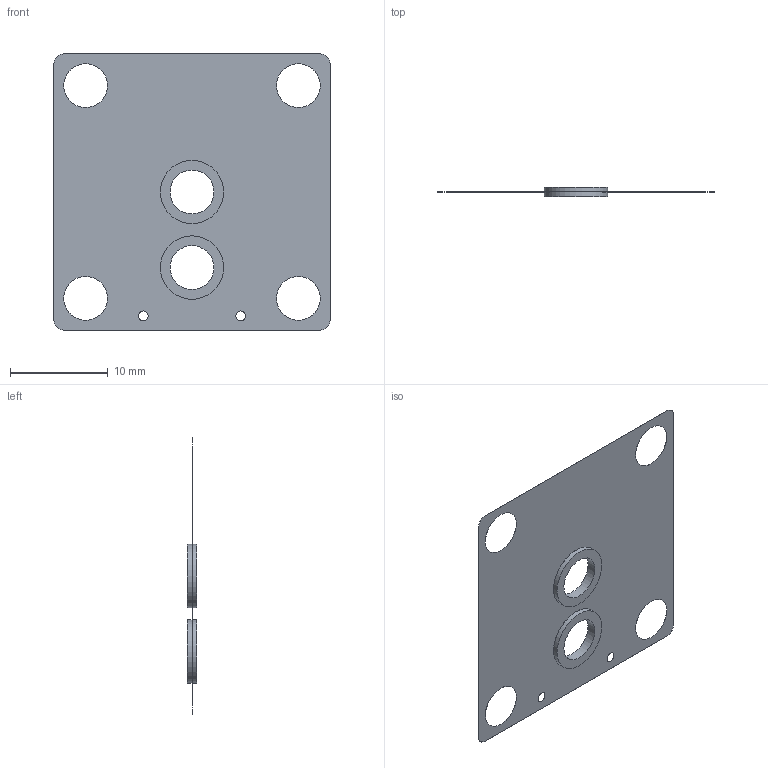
import cadquery as cq

plate_side = 28.3
plate_thickness = 0.01
corner_radius = 1.0

mount_hole_diameter = 4.5
mount_hole_edge_gap = 1.0
mount_hole_offset = plate_side / 2 - mount_hole_edge_gap - mount_hole_diameter / 2
mount_hole_centres = [
    (x_side * mount_hole_offset, z_side * mount_hole_offset)
    for x_side in (-1, 1)
    for z_side in (-1, 1)
]

ring_outer_diameter = 6.5
ring_bore_diameter = 4.5
ring_length = 1.0
ring_spacing = 7.75
ring_centres = [(0, 0), (0, -ring_spacing)]

pin_hole_diameter = 1.0
pin_hole_spacing = 10.0
pin_hole_height = -12.7
pin_hole_centres = [(side * pin_hole_spacing / 2, pin_hole_height) for side in (-1, 1)]


def make_plate():
    """Square plate with rounded corners, reaching from the XZ plane toward -Y."""
    plate = cq.Workplane("XZ").rect(plate_side, plate_side).extrude(plate_thickness)
    return plate.edges("|Y").fillet(corner_radius)


def make_cylinders(centres, diameter):
    """Cylinders along Y at the given (x, z) centres, as long as the rings."""
    back_plane = cq.Workplane("XZ", origin=(0, ring_length / 2, 0))
    return back_plane.pushPoints(centres).circle(diameter / 2).extrude(ring_length)


result = (
    make_plate()
    .cut(make_cylinders(mount_hole_centres, mount_hole_diameter))
    .cut(make_cylinders(pin_hole_centres, pin_hole_diameter))
    .union(make_cylinders(ring_centres, ring_outer_diameter))
    .cut(make_cylinders(ring_centres, ring_bore_diameter))
)